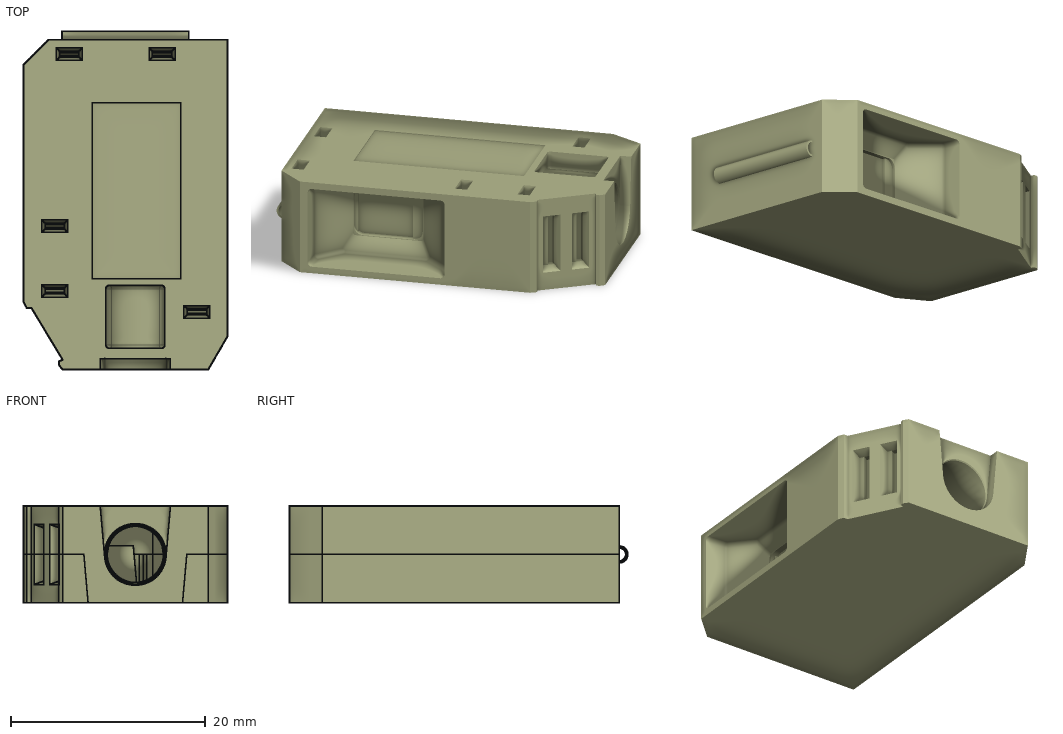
import cadquery as cq
import math


width = 21.0
height = 10.0
total_length = 34.8
body_length = 33.93
half_width = width / 2
half_height = height / 2
draft = math.tan(math.radians(5))

back_chamfer = 2.58
front_chamfer_x = 2.0
front_chamfer_y = 3.4
rear_rib_x = -9.67
rear_rib_y = 6.35
rear_rib_nose = 0.5
rear_rib_bevel = 0.63
front_rib_x = -6.47
front_rib_y = 1.0
front_rib_top = 0.87
front_rib_step = 0.4
front_rib_bevel = 0.5

entry_x = 1.0
bore_radius = 3.05
bore_end_radius = 2.9
mouth_radius = 3.15
mouth_depth = 1.15
bore_end = 12.18

tongue_half_width = 5.3
tongue_thickness = 1.75

stop_right = 0.8
stop_top = 0.9
stop_thickness = 0.52
notch_left = 1.43
notch_width = 0.75
notch_depth = 0.52
relief_x = 2.8
relief_slope = 30
relief_size = 3.48

recess_width = 6.05
recess_length = 6.47
recess_front = 2.2
recess_floor_radius = 4.0
recess_fillet = 0.35

label_width = 9.1
label_length = 18.05
label_left = -3.4
label_front = 9.35
label_depth = 0.1

window_length = 2.68
window_width = 1.3
window_floor_length = 2.0
window_floor_width = 0.6
window_depth = 2.1
ramp_width = 0.35
ramp_depth = 0.6
back_window_y = 32.45
left_window_x = -7.27
windows = [
    (-5.78, back_window_y, -1),
    (3.75, back_window_y, -1),
    (left_window_x, 14.75, -1),
    (left_window_x, 8.1, 1),
    (7.35, 5.95, 1),
]

pocket_front = 16.0
pocket_back = 30.52
pocket_half_height = 4.28
pocket_depth = 5.65
pocket_wall_draft = 0.15
pocket_wall_depth_front = 2.1
pocket_wall_depth_back = 2.45
pocket_slope_start = 4.65
pocket_fillet = 0.45
inner_front = 19.65
inner_back = 27.1
inner_half_height = 2.6
inner_depth = 0.35
inner_channel_front = 20.85
inner_channel_back = 26.65
inner_channel_depth = 0.7
inner_rim = 0.07
inner_corner = 0.97

slot_length = 6.2
slot_width = 1.88
slot_floor_length = 5.4
slot_floor_width = 1.2
slot_depth = 1.05
groove_width = 0.7
groove_depth = 0.65
slot_spacing = 3.1
slot_shift = 0.07

loop_left = -6.55
loop_width = 13.05
loop_outer = total_length - body_length
loop_thickness = 0.2


def tapered_cutter(plane, length, breadth, floor_length, floor_breadth, depth):
    """Frustum that narrows from a rectangle on the plane to a smaller one at the given depth."""
    return (
        cq.Workplane(plane).rect(length, breadth)
        .workplane(offset=-depth).rect(floor_length, floor_breadth)
        .loft(ruled=True)
    )


def half_blank(bottom):
    """One half of the housing, half_height tall, standing on the given level."""
    outline = [
        (half_width, body_length),
        (-half_width + back_chamfer, body_length),
        (-half_width, body_length - back_chamfer),
        (-half_width, rear_rib_y + rear_rib_bevel),
        (rear_rib_x - rear_rib_nose, rear_rib_y),
        (rear_rib_x, rear_rib_y),
        (front_rib_x, front_rib_y),
        (front_rib_x - front_rib_step, front_rib_top),
        (front_rib_x - front_rib_step, front_rib_bevel),
        (front_rib_x, 0),
        (half_width - front_chamfer_x, 0),
        (half_width, front_chamfer_y),
    ]
    return cq.Workplane("XY", origin=(0, 0, bottom)).polyline(outline).close().extrude(half_height)


def front_tongue():
    """Drafted wedge in the front wall below the parting plane."""
    foot_half_width = tongue_half_width - half_height * draft
    outline = [
        (entry_x - tongue_half_width, 0),
        (entry_x - foot_half_width, -half_height),
        (entry_x + foot_half_width, -half_height),
        (entry_x + tongue_half_width, 0),
    ]
    return cq.Workplane("XZ").polyline(outline).close().extrude(-tongue_thickness)


def cable_entry():
    """U-shaped mouth open at the top, and a bore with a chamfered edge behind it."""
    mid_half_width = mouth_radius * math.sqrt(1 + draft ** 2)
    top_half_width = mid_half_width + half_height * draft
    angle = math.atan(draft)
    tangent_x = mouth_radius * math.cos(angle)
    tangent_z = mouth_radius * math.sin(angle)
    mouth = (
        cq.Workplane("XZ", origin=(entry_x, 0, 0))
        .moveTo(-top_half_width, half_height)
        .lineTo(-tangent_x, -tangent_z)
        .threePointArc((0, -mouth_radius), (tangent_x, -tangent_z))
        .lineTo(top_half_width, half_height)
        .close()
        .extrude(-mouth_depth)
    )
    chamfer = mouth_radius - bore_radius
    bore = (
        cq.Workplane("YZ", origin=(entry_x, 0, 0))
        .moveTo(mouth_depth, 0)
        .lineTo(mouth_depth, mouth_radius)
        .lineTo(mouth_depth + chamfer, bore_radius)
        .lineTo(bore_end, bore_end_radius)
        .lineTo(bore_end, 0)
        .close()
        .revolve(360, (0, 0, 0), (1, 0, 0))
    )
    return mouth.union(bore)


def bore_end_relief():
    """Slanted pocket at the right of the bore end, getting deeper to the right, inside the bore outline."""
    reach = entry_x + bore_end_radius - relief_x
    wedge = (
        cq.Workplane("XY", origin=(0, 0, -half_height))
        .moveTo(relief_x, bore_end)
        .lineTo(relief_x + reach, bore_end + reach * math.tan(math.radians(relief_slope)))
        .lineTo(relief_x + reach, bore_end)
        .close()
        .extrude(height)
    )
    return wedge.intersect(bore_extension())


def bore_extension():
    """Room straight behind the bore end, which bounds the cuts made there."""
    return cq.Workplane("XZ", origin=(entry_x, bore_end, 0)).circle(bore_end_radius).extrude(-relief_size)


def bore_stop():
    """Block of the lower half standing in the bore end, left of a drafted edge."""
    left = entry_x - bore_end_radius
    block = (
        cq.Workplane("XZ", origin=(0, bore_end, 0))
        .moveTo(left, stop_top)
        .lineTo(stop_right, stop_top)
        .lineTo(stop_right + (stop_top + bore_end_radius) * draft, -bore_end_radius)
        .lineTo(left, -bore_end_radius)
        .close()
        .extrude(stop_thickness)
    )
    barrel = cq.Workplane("XZ", origin=(entry_x, 0, 0)).circle(bore_end_radius).extrude(-bore_end)
    return block.intersect(barrel)


def bore_notch():
    """V-shaped upright notch in the bore end of the lower half."""
    notch = (
        cq.Workplane("XY", origin=(0, 0, -half_height))
        .moveTo(notch_left, bore_end)
        .lineTo(notch_left + notch_width / 2, bore_end + notch_depth)
        .lineTo(notch_left + notch_width, bore_end)
        .close()
        .extrude(half_height)
    )
    return notch.intersect(bore_extension())


def strain_relief_recess():
    """Rectangular recess with filleted walls, above a rounded core around the bore."""
    block = (
        cq.Workplane("XY")
        .box(recess_width, recess_length, half_height, centered=(True, False, False))
        .translate((entry_x, recess_front, 0))
    )
    core = (
        cq.Workplane("XZ", origin=(entry_x, 0, 0))
        .circle(recess_floor_radius).extrude(-body_length)
    )
    return block.cut(core).edges("not >Z").fillet(recess_fillet)


def label_recess():
    """Shallow rectangle sunk into the top face."""
    return (
        cq.Workplane("XY", origin=(label_left, label_front, half_height - label_depth))
        .rect(label_width, label_length, centered=False).extrude(label_depth)
    )


def latch_window(x, y, facing):
    """Tapered window whose floor holds a notch with a ramp facing -Y (-1) or +Y (1)."""
    plane = cq.Plane(origin=(x, y, half_height), xDir=(1, 0, 0), normal=(0, 0, 1))
    window = tapered_cutter(
        plane, window_length, window_width, window_floor_length, window_floor_width, window_depth
    )
    floor = half_height - window_depth
    deep_side = facing * ramp_width / 2
    ramp = (
        cq.Workplane("YZ", origin=(x - window_floor_length / 2, y, 0))
        .moveTo(-deep_side, floor)
        .lineTo(deep_side, floor)
        .lineTo(deep_side, floor - ramp_depth)
        .close()
        .extrude(window_floor_length)
    )
    return window.union(ramp)


def inner_recess(floor, depth):
    """Block with rounded corners that sinks into the pocket floor, a narrow rim inside its edge."""
    length = inner_back - inner_front - 2 * inner_rim
    return (
        cq.Workplane("YZ", origin=(floor, (inner_front + inner_back) / 2, 0))
        .rect(length, 2 * (inner_half_height - inner_rim)).extrude(depth)
        .edges("|X").fillet(inner_corner)
    )


def finger_pocket():
    """Funnel with rounded creases, and the stepped recess in its floor."""
    opening = -half_width
    floor = opening + pocket_depth
    plan = [
        (opening, pocket_front),
        (opening + pocket_wall_depth_front, pocket_front + pocket_wall_draft),
        (floor, inner_front),
        (floor, inner_back),
        (opening + pocket_wall_depth_back, pocket_back - pocket_wall_draft),
        (opening, pocket_back),
    ]
    section = [
        (opening, -pocket_half_height),
        (opening + pocket_slope_start, -pocket_half_height),
        (floor, -inner_half_height),
        (floor, inner_half_height),
        (opening + pocket_slope_start, pocket_half_height),
        (opening, pocket_half_height),
    ]
    plan_block = cq.Workplane("XY").polyline(plan).close().extrude(half_height, both=True)
    section_block = cq.Workplane("XZ").polyline(section).close().extrude(-body_length)
    funnel = plan_block.intersect(section_block)
    funnel = funnel.edges("not(<X or >X)").fillet(pocket_fillet)
    channel_length = inner_channel_back - inner_channel_front
    channel = (
        cq.Workplane("XY", origin=(floor, inner_channel_front, 0))
        .box(inner_channel_depth, channel_length, height, centered=(False, False, True))
        .intersect(inner_recess(floor, inner_channel_depth))
    )
    return funnel.union(inner_recess(floor, inner_depth)).union(channel)


def grip_slots():
    """Two tapered slots across the slanted wall, each with a groove in its floor."""
    run_x = front_rib_x - rear_rib_x
    run_y = front_rib_y - rear_rib_y
    run = math.hypot(run_x, run_y)
    along = (run_x / run, run_y / run, 0)
    outward = (run_y / run, -run_x / run, 0)
    slots = []
    for side in (-0.5, 0.5):
        distance = run / 2 - slot_shift + side * slot_spacing
        centre = (rear_rib_x + along[0] * distance, rear_rib_y + along[1] * distance, 0)
        plane = cq.Plane(origin=centre, xDir=along, normal=outward)
        slot = tapered_cutter(
            plane, slot_width, slot_length, slot_floor_width, slot_floor_length, slot_depth
        )
        groove = (
            cq.Workplane(plane).workplane(offset=-slot_depth)
            .center((slot_floor_width - groove_width) / 2, 0)
            .rect(groove_width, slot_floor_length).extrude(-groove_depth)
        )
        slots.append(slot.union(groove))
    return slots


def back_loop():
    """Rear half of a thin tube lying along X."""
    tube = (
        cq.Workplane("YZ", origin=(loop_left, body_length, 0))
        .circle(loop_outer).circle(loop_outer - loop_thickness).extrude(loop_width)
    )
    behind = (
        cq.Workplane("XY")
        .box(width, 2 * loop_outer, 2 * loop_outer, centered=(True, False, True))
        .translate((0, body_length, 0))
    )
    return tube.intersect(behind)


shared_cuts = [cable_entry(), bore_end_relief(), finger_pocket(), *grip_slots()]

upper_half = half_blank(0).union(front_tongue()).union(back_loop())
for cutter in shared_cuts:
    upper_half = upper_half.cut(cutter)
upper_half = upper_half.cut(strain_relief_recess()).cut(label_recess())
for window_x, window_y, ramp_facing in windows:
    upper_half = upper_half.cut(latch_window(window_x, window_y, ramp_facing))

lower_half = half_blank(-half_height).cut(front_tongue())
for cutter in shared_cuts:
    lower_half = lower_half.cut(cutter)
lower_half = lower_half.cut(bore_notch()).union(bore_stop())

result = cq.Compound.makeCompound([upper_half.val(), lower_half.val()])